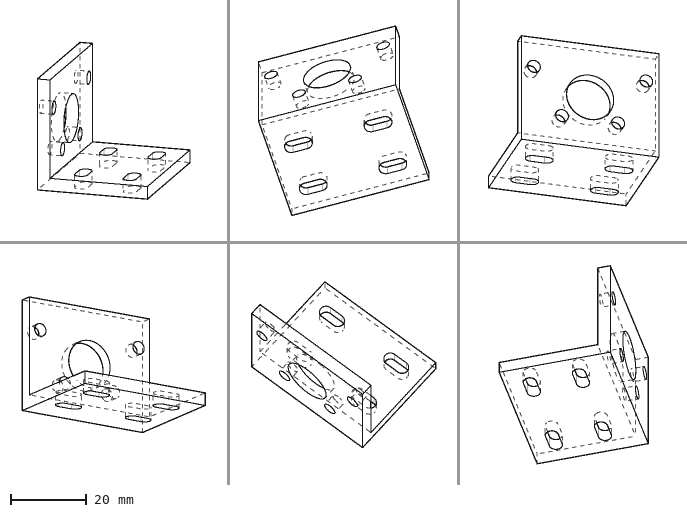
import cadquery as cq
import math

leg_length = 30.5
width = 38.0
thickness = 3.5

bore_diameter = 13.0
bore_height = 15.0
screw_diameter = 3.5
bolt_circle_radius = 15.5
bolt_circle_height = 21.95
bolt_angles = [0, 180, 240, 300]

slot_width = 3.5
slot_length = 7.5
slot_spacing_x = 13.5
slot_spacing_y = 22.0
slot_center_x = (thickness + leg_length) / 2


def make_bracket():
    """L profile extruded along Y, centred on Y = 0."""
    profile = [
        (0, 0),
        (leg_length, 0),
        (leg_length, thickness),
        (thickness, thickness),
        (thickness, leg_length),
        (0, leg_length),
    ]
    return cq.Workplane("XZ").polyline(profile).close().extrude(width / 2, both=True)


def make_upright_holes():
    """Cutters for the large bore and the screw holes on their bolt circle."""
    bolt_points = []
    for angle in bolt_angles:
        y = bolt_circle_radius * math.cos(math.radians(angle))
        z = bolt_circle_height + bolt_circle_radius * math.sin(math.radians(angle))
        bolt_points.append((y, z))

    bore = cq.Workplane("YZ").center(0, bore_height).circle(bore_diameter / 2).extrude(thickness)
    screws = cq.Workplane("YZ").pushPoints(bolt_points).circle(screw_diameter / 2).extrude(thickness)
    return bore.union(screws)


def make_base_slots():
    """Cutters for the two by two pattern of adjustment slots."""
    return (
        cq.Workplane("XY")
        .center(slot_center_x, 0)
        .rarray(slot_spacing_x, slot_spacing_y, 2, 2)
        .slot2D(slot_length, slot_width, 90)
        .extrude(thickness)
    )


result = make_bracket().cut(make_upright_holes()).cut(make_base_slots())